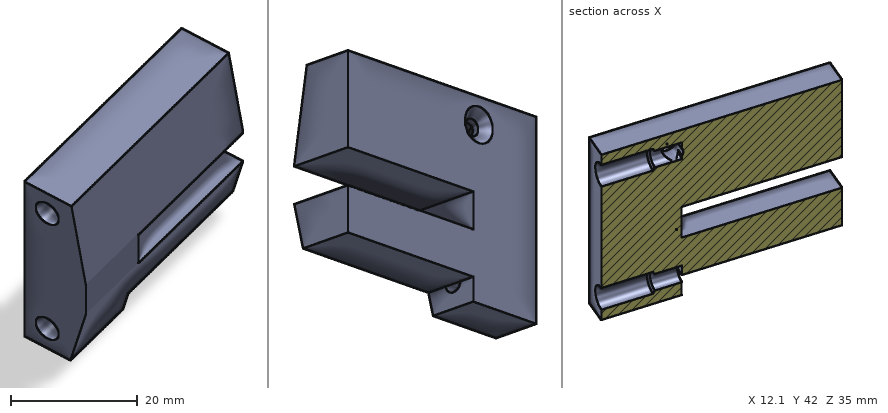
import cadquery as cq
import math

length = 42.0
width = 12.05
height = 35.0

top_width = 9.25
bottom_width = 9.05
crest_bottom = 12.22
crest_top = 18.9

head_length = 14.05
lower_prong_bottom = 4.2
lower_prong_top = 12.22
upper_prong_bottom = 18.6

entry_diameter = 4.5
entry_depth = 2 * entry_diameter
bore_diameter = 3.4
step_angle = 118
stepped_hole_x = 4.5
stepped_hole_edge_distance = 4.5
stepped_hole_heights = (stepped_hole_edge_distance, height - stepped_hole_edge_distance)

cross_y = 12.8
cross_z = 30.2
cross_diameter = 2.9
cross_depth = 5.05
drill_point_angle = 118
sink_diameter = 6.17
sink_angle = 90


def body():
    """Extrude the head-end outline along Y."""
    outline = [
        (0, 0),
        (bottom_width, 0),
        (width, crest_bottom),
        (width, crest_top),
        (top_width, height),
        (0, height),
    ]
    return cq.Workplane("XZ").polyline(outline).close().extrude(-length)


def prong_gap(bottom, top):
    """Space across the full width, from the head to the prong tips."""
    size = (width, length - head_length, top - bottom)
    return cq.Workplane("XY").box(*size, centered=False).translate((0, head_length, bottom))


def stepped_hole(z):
    """Wide entry bore, conical step and narrow bore, ending level with the prong roots."""
    entry_radius = entry_diameter / 2
    bore_radius = bore_diameter / 2
    step_length = (entry_radius - bore_radius) / math.tan(math.radians(step_angle / 2))
    half_section = [
        (0, 0),
        (entry_radius, 0),
        (entry_radius, entry_depth),
        (bore_radius, entry_depth + step_length),
        (bore_radius, head_length),
        (0, head_length),
    ]
    cutter = cq.Workplane("XY").polyline(half_section).close().revolve(360, (0, 0), (0, 1))
    return cutter.translate((stepped_hole_x, 0, z))


def cross_hole():
    """Revolved cutter with countersink, straight bore and drill point."""
    bore_radius = cross_diameter / 2
    sink_radius = sink_diameter / 2
    sink_depth = (sink_radius - bore_radius) / math.tan(math.radians(sink_angle / 2))
    point_length = bore_radius / math.tan(math.radians(drill_point_angle / 2))
    half_section = [
        (0, 0),
        (0, sink_radius),
        (sink_depth, bore_radius),
        (cross_depth, bore_radius),
        (cross_depth + point_length, 0),
    ]
    cutter = cq.Workplane("XY").polyline(half_section).close().revolve(360, (0, 0), (1, 0))
    return cutter.translate((0, cross_y, cross_z))


result = body()
result = result.cut(prong_gap(0, lower_prong_bottom))
result = result.cut(prong_gap(lower_prong_top, upper_prong_bottom))
for hole_height in stepped_hole_heights:
    result = result.cut(stepped_hole(hole_height))
result = result.cut(cross_hole())